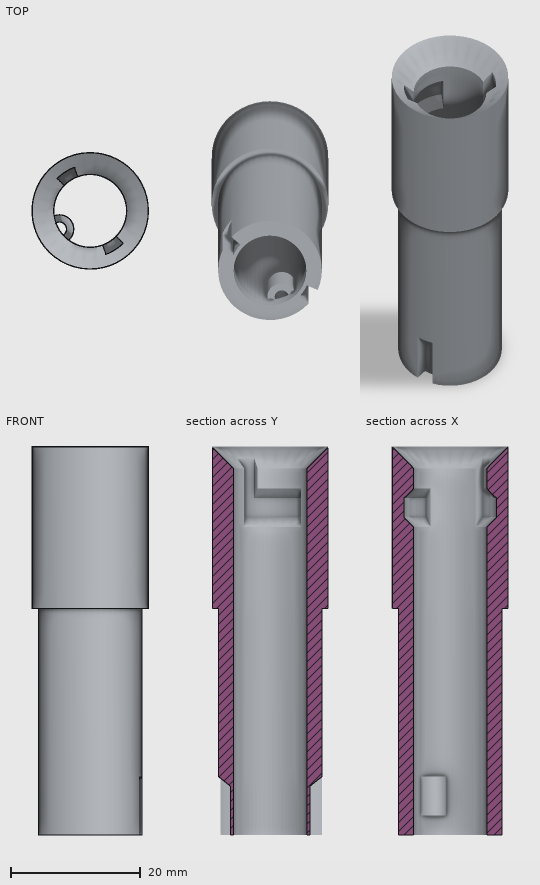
import cadquery as cq
import math

total_height = 60.0
head_height = 25.0
head_radius = 9.0
body_radius = 16.0 / 2
bore_radius = 11.2 / 2
cone_depth = head_radius - bore_radius

bayonet_radius = 7.15
bayonet_depth = bayonet_radius - bore_radius
entry_start_angle = 110.0
entry_end_angle = 135.5
lock_end_angle = 32.0
lock_top = total_height - 6.5
lock_bottom = total_height - 12.5

groove_floor_radius = 6.2
groove_height = 9.0
groove_end_rise = 1.45
groove_start_angle = 163.0
groove_end_angle = 182.0

tube_radius = 2.2
tube_hole_radius = 1.1
tube_distance = 5.5
tube_angle = 210.7
tube_bottom = 3.0
tube_top = 9.0

overlap = 0.6


def sector(profile, start_angle, end_angle):
    """Revolve an (r, z) profile about Z between two angles in degrees."""
    swept = (
        cq.Workplane("XZ")
        .polyline(profile)
        .close()
        .revolve(end_angle - start_angle, (0, 0, 0), (0, -1, 0))
    )
    return swept.rotate((0, 0, 0), (0, 0, 1), end_angle)


def make_sleeve():
    profile = [
        (bore_radius, 0),
        (body_radius, 0),
        (body_radius, total_height - head_height),
        (head_radius, total_height - head_height),
        (head_radius, total_height),
        (bore_radius, total_height - cone_depth),
    ]
    return cq.Workplane("XZ").polyline(profile).close().revolve(360, (0, 0, 0), (0, 1, 0))


def make_bayonet_recess():
    """Vertical entry and a sideways locking recess, with 45 degree floor and ceiling."""
    inner = bore_radius - overlap
    floor = [
        (inner, lock_bottom),
        (bore_radius, lock_bottom),
        (bayonet_radius, lock_bottom + bayonet_depth),
    ]
    entry_top = [
        (bayonet_radius, total_height + overlap),
        (inner, total_height + overlap),
    ]
    lock_top_edge = [
        (bayonet_radius, lock_top - bayonet_depth),
        (bore_radius, lock_top),
        (inner, lock_top),
    ]
    entry = sector(floor + entry_top, entry_start_angle, entry_end_angle)
    lock = sector(floor + lock_top_edge, lock_end_angle, entry_end_angle)
    return entry.union(lock)


def make_foot_groove():
    """Blind groove, open at the bottom, with a sloped upper end."""
    outer = body_radius + overlap
    profile = [
        (groove_floor_radius, -overlap),
        (outer, -overlap),
        (outer, groove_height),
        (body_radius, groove_height),
        (groove_floor_radius, groove_height - groove_end_rise),
    ]
    return sector(profile, groove_start_angle, groove_end_angle)


def tube_cylinder(radius):
    x = tube_distance * math.cos(math.radians(tube_angle))
    y = tube_distance * math.sin(math.radians(tube_angle))
    return (
        cq.Workplane("XY", origin=(x, y, tube_bottom))
        .circle(radius)
        .extrude(tube_top - tube_bottom)
    )


result = make_sleeve().union(tube_cylinder(tube_radius)).cut(tube_cylinder(tube_hole_radius))

for turn in (0, 180):
    for cutter in (make_bayonet_recess(), make_foot_groove()):
        result = result.cut(cutter.rotate((0, 0, 0), (0, 0, 1), turn))